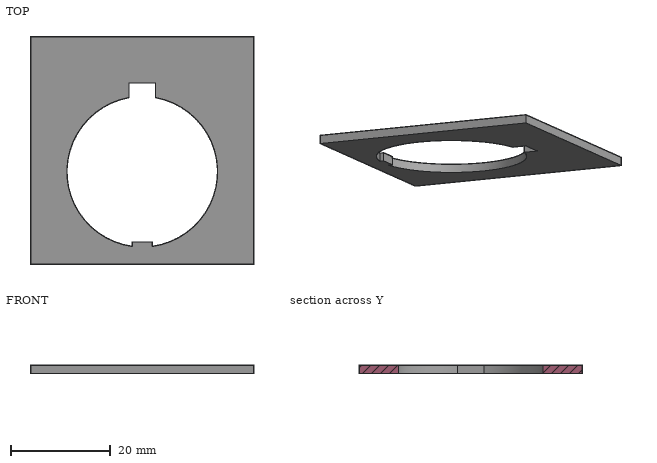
import cadquery as cq

plate_width = 44.8
plate_height = 45.75
plate_thickness = 1.7

opening_diameter = 30.2
opening_to_top_edge = 27.15
plate_center_y = opening_to_top_edge - plate_height / 2

notch_width = 5.3
notch_reach = 17.8

key_width = 4.1
key_reach = 14.1


def make_plate():
    return (
        cq.Workplane("XY")
        .center(0, plate_center_y)
        .rect(plate_width, plate_height)
        .extrude(plate_thickness)
    )


def make_block(width, bottom_y, top_y):
    """Full-thickness block, symmetric about the Y axis."""
    return (
        cq.Workplane("XY")
        .center(0, (bottom_y + top_y) / 2)
        .rect(width, top_y - bottom_y)
        .extrude(plate_thickness)
    )


def make_opening():
    """Round hole with the notch added and the key left standing."""
    hole = cq.Workplane("XY").circle(opening_diameter / 2).extrude(plate_thickness)
    notch = make_block(notch_width, 0, notch_reach)
    key = make_block(key_width, -opening_diameter / 2, -key_reach)
    return hole.union(notch).cut(key)


result = make_plate().cut(make_opening())